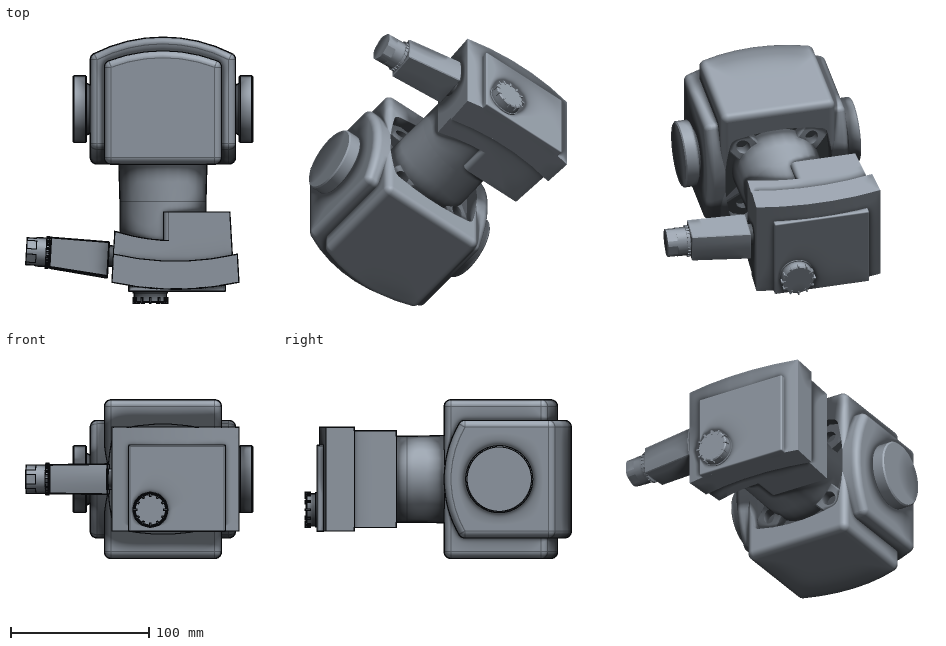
import cadquery as cq
import math


shell_fillet = 5.0
shell_front_y = -39.8
shell_back_radius = 109.7
wide_half_x = 52.5
wide_half_z = 42.5
wide_back_y = 52.2
wide_front_radius = 79.9
tall_half_x = 42.4
tall_height = 115.0
tall_half_z = tall_height / 2
tall_back_y = 42.2

pocket_half = 39.8
pocket_side_radius = 134.8
pocket_corner_radius = 6.7
pocket_floor_y = -28.5

volute_radius = 32.7
volute_back_y = 23.1
pipe_radius = 17.3
neck_radius = 18.9
flange_radius = 24.3
flange_outer_x = 65.0
flange_thickness = 10.0
flange_chamfer = 1.0

motor_radius = 31.2
motor_base_radius = 32.1
taper_end_y = -66.8
motor_end_y = -95.0
lug_count = 4
first_lug_angle = 45
lug_width = 19.8
lug_reach = 48.1
lug_front_y = -36.5
lug_slope_start = 31.2
lug_slope = 0.31
lug_edge = 1.0
screw_circle_radius = 35.8
screw_hole_radius = 5.0

box_center_x = 9.0
box_front_y = -130.1
box_step_y = -110.0
box_rear_y = -95.0
box_front_radius = 215.6
box_arc_center_y = box_front_y + box_front_radius
box_rear_radius = 142.5
box_draft = 3.3
box_front_half_x = 46.0
box_front_corner_y = -125.3
box_front_half_z = 37.5
box_rear_half_z = 35.0
box_step_x = 3.7
block_left_x = 0.4
block_back_y = -74.3
block_round = 3.7

panel_left_x = -24.8
panel_right_x = 45.2
panel_top_z = 24.6
panel_bottom_z = -38.0
panel_front_y = -131.9
panel_edge = 1.0

knob_x = -9.0
knob_z = -22.1
knob_radius = 11.7
knob_rim_radius = 12.5
knob_rim_thickness = 1.0
knob_front_y = -139.8
knob_edge = 0.8
tooth_count = 12
tooth_width = 1.2
tooth_inner_radius = 9.6
tooth_outer_radius = 12.7
tooth_back_y = -136.3
tooth_front_y = -140.3

plug_axis_y = -106.3
plug_start = 3.3
plug_end = 45.8
plug_edge = 0.5
plug_inner_back = 10.2
plug_inner_front = -14.8
plug_inner_bulge = 1.3
plug_inner_half_z = 11.2
plug_outer_back = 11.2
plug_outer_front = -10.5
plug_outer_bulge = 1.0
plug_outer_half_z = 10.5
socket_radius = 7.5
ring_start = 46.5
ring_radius = 11.5
nut_start = 48.7
nut_end = 63.0
nut_radius = 10.4
nut_flat_count = 6
nut_flat_distance = 9.8
nut_flat_length = 7.1
stem_radius = 8.7
knurl_count = 24
knurl_width = 1.2
knurl_depth = 0.8


def cylinder_y(radius, y_start, y_end, x=0.0, z=0.0):
    """Cylinder along Y between two Y positions."""
    return (
        cq.Workplane("XZ", origin=(x, y_start, z))
        .circle(radius)
        .extrude(y_start - y_end)
    )


def cylinder_x(radius, x_start, x_end):
    """Cylinder along X between two X positions."""
    return cq.Workplane("YZ", origin=(x_start, 0, 0)).circle(radius).extrude(x_end - x_start)


def box_between(x_range, y_range, z_range):
    """Rectangular block given by its limits along the three axes."""
    return (
        cq.Workplane("XY", origin=(0, 0, z_range[0]))
        .moveTo(x_range[0], y_range[0])
        .lineTo(x_range[1], y_range[0])
        .lineTo(x_range[1], y_range[1])
        .lineTo(x_range[0], y_range[1])
        .close()
        .extrude(z_range[1] - z_range[0])
    )




def arched_block(half_x, half_z, back_y):
    """Block with a flat front and an arched back."""
    side_y = back_y - shell_back_radius + math.sqrt(shell_back_radius**2 - half_x**2)
    return (
        cq.Workplane("XY", origin=(0, 0, -half_z))
        .moveTo(-half_x, shell_front_y)
        .lineTo(half_x, shell_front_y)
        .lineTo(half_x, side_y)
        .threePointArc((0, back_y), (-half_x, side_y))
        .close()
        .extrude(2 * half_z)
    )


def make_pocket():
    """Bulged square pocket that opens to the shell front."""
    arc_center = pocket_half - pocket_side_radius
    corner = (arc_center + math.sqrt(2 * pocket_side_radius**2 - arc_center**2)) / 2
    return (
        cq.Workplane("XZ", origin=(0, pocket_floor_y, 0))
        .moveTo(-corner, -corner)
        .threePointArc((0, -pocket_half), (corner, -corner))
        .threePointArc((pocket_half, 0), (corner, corner))
        .threePointArc((0, pocket_half), (-corner, corner))
        .threePointArc((-pocket_half, 0), (-corner, -corner))
        .close()
        .extrude(wide_back_y)
        .edges("|Y")
        .fillet(pocket_corner_radius)
    )


def make_shell(housing):
    tall = arched_block(tall_half_x, tall_half_z, tall_back_y).edges().fillet(shell_fillet)
    front_round = (
        cq.Workplane("YZ", origin=(-wide_half_x, 0, 0))
        .center(shell_front_y + wide_front_radius, 0)
        .circle(wide_front_radius)
        .extrude(2 * wide_half_x)
    )
    wide = arched_block(wide_half_x, wide_half_z, wide_back_y).intersect(front_round)
    wide = wide.edges().fillet(shell_fillet)
    return tall.union(wide).cut(make_pocket()).cut(housing)




def make_housing():
    flange_inner_x = flange_outer_x - flange_thickness
    housing = cylinder_y(volute_radius, pocket_floor_y, volute_back_y)
    housing = housing.union(cylinder_x(pipe_radius, -flange_outer_x, flange_outer_x))
    neck = (
        cq.Workplane("YZ", origin=(wide_half_x, 0, 0))
        .circle(pipe_radius)
        .workplane(offset=flange_inner_x - wide_half_x)
        .circle(neck_radius)
        .loft()
    )
    flange = cylinder_x(flange_radius, flange_inner_x, flange_outer_x).edges().chamfer(flange_chamfer)
    end = neck.union(flange)
    return housing.union(end).union(end.mirror("YZ"))




def make_lug():
    """Radial lug along +X whose front slopes back towards its tip."""
    tip_front_y = lug_front_y + lug_slope * (lug_reach - lug_slope_start)
    return (
        cq.Workplane("XY", origin=(0, 0, -lug_width / 2))
        .moveTo(0, pocket_floor_y)
        .lineTo(0, lug_front_y)
        .lineTo(lug_slope_start, lug_front_y)
        .lineTo(lug_reach, tip_front_y)
        .lineTo(lug_reach, pocket_floor_y)
        .close()
        .extrude(lug_width)
        .faces(f"<({-lug_slope}, 1, 0)")
        .edges("not |Z")
        .chamfer(lug_edge)
    )


def make_motor():
    motor = (
        cq.Workplane("XY")
        .moveTo(0, pocket_floor_y)
        .lineTo(motor_base_radius, pocket_floor_y)
        .lineTo(motor_radius, taper_end_y)
        .lineTo(motor_radius, motor_end_y)
        .lineTo(0, motor_end_y)
        .close()
        .revolve(360, (0, 0, 0), (0, 1, 0))
    )
    lug = make_lug()
    hole = cylinder_y(screw_hole_radius, pocket_floor_y, lug_front_y, screw_circle_radius)
    pocket = make_pocket()
    for index in range(lug_count):
        angle = first_lug_angle + index * 360 / lug_count
        motor = motor.union(lug.rotate((0, 0, 0), (0, 1, 0), angle).intersect(pocket))
        motor = motor.cut(hole.rotate((0, 0, 0), (0, 1, 0), angle))
    return motor




def box_disc(apex_y, half_z):
    """Disc whose rim forms the curved front or the curved step of the control box."""
    return (
        cq.Workplane("XY", origin=(box_center_x, box_arc_center_y, -half_z))
        .circle(box_arc_center_y - apex_y)
        .extrude(2 * half_z)
    )


def box_end_x(y):
    """Distance of a drafted end face from the box middle at a given Y."""
    return box_front_half_x - (y - box_front_corner_y) * math.tan(math.radians(box_draft))


def drafted_block(y_front, y_back, half_z, right_inset):
    """Block between the drafted end faces, with its right end set back."""
    return (
        cq.Workplane("XY", origin=(box_center_x, 0, -half_z))
        .moveTo(-box_end_x(y_front), y_front)
        .lineTo(box_end_x(y_front) - right_inset, y_front)
        .lineTo(box_end_x(y_back) - right_inset, y_back)
        .lineTo(-box_end_x(y_back), y_back)
        .close()
        .extrude(2 * half_z)
    )


def make_control_box(motor):
    front = drafted_block(box_front_y, block_back_y, box_front_half_z, 0)
    front = front.intersect(box_disc(box_front_y, box_front_half_z))
    front = front.cut(box_disc(box_step_y, box_front_half_z))
    rear = drafted_block(box_front_y, block_back_y, box_rear_half_z, box_step_x)
    rear = rear.intersect(box_disc(box_step_y, box_rear_half_z))
    rear_hollow = (
        cq.Workplane("XY", origin=(box_center_x, box_rear_y + box_rear_radius, -box_rear_half_z))
        .circle(box_rear_radius)
        .extrude(2 * box_rear_half_z)
    )
    curved = rear.cut(rear_hollow)
    block_right_x = box_center_x + box_front_half_x
    block_limit = box_between(
        (block_left_x, block_right_x), (box_step_y, block_back_y), (-box_rear_half_z, box_rear_half_z)
    )
    block_limit = block_limit.edges("|Y and <X").fillet(block_round)
    block = rear.intersect(block_limit)
    return front.union(curved).union(block).cut(motor)


def make_panel():
    panel = box_between(
        (panel_left_x, panel_right_x), (panel_front_y, box_step_y), (panel_bottom_z, panel_top_z)
    )
    panel = panel.edges("|Y or <Y").fillet(panel_edge)
    return panel.cut(box_disc(box_front_y, -panel_bottom_z))


def make_knob():
    knob = cylinder_y(knob_radius, panel_front_y, knob_front_y, knob_x, knob_z)
    knob = knob.faces("<Y").edges().chamfer(knob_edge)
    rim_end_y = panel_front_y - knob_rim_thickness
    knob = knob.union(cylinder_y(knob_rim_radius, panel_front_y, rim_end_y, knob_x, knob_z))
    tooth = box_between(
        (tooth_inner_radius, tooth_outer_radius),
        (tooth_front_y, tooth_back_y),
        (-tooth_width / 2, tooth_width / 2),
    )
    for index in range(tooth_count):
        turned = tooth.rotate((0, 0, 0), (0, 1, 0), index * 360 / tooth_count)
        knob = knob.union(turned.translate((knob_x, 0, knob_z)))
    return knob




def plug_plane(distance):
    """Plane across the plug axis: local x is up along Y, local y is down along Z."""
    tilt = math.radians(box_draft)
    outward = cq.Vector(-math.cos(tilt), math.sin(tilt), 0)
    start = cq.Vector(box_center_x - box_end_x(plug_axis_y), plug_axis_y, 0)
    across = cq.Vector(math.sin(tilt), math.cos(tilt), 0)
    return cq.Plane(origin=start + outward * distance, xDir=across, normal=outward)


def plug_disc(radius, start, end):
    """Round disc on the plug axis."""
    return cq.Workplane(plug_plane(start)).circle(radius).extrude(end - start)


def plug_section(distance, back, front, bulge, half_z):
    """Closed outline of the plug with a bulged front side."""
    return (
        cq.Workplane(plug_plane(distance))
        .moveTo(back, -half_z)
        .lineTo(back, half_z)
        .lineTo(front, half_z)
        .threePointArc((front - bulge, 0), (front, -half_z))
        .close()
        .wires()
        .val()
    )


def make_plug():
    inner = plug_section(
        plug_start, plug_inner_back, plug_inner_front, plug_inner_bulge, plug_inner_half_z
    )
    outer = plug_section(
        plug_end, plug_outer_back, plug_outer_front, plug_outer_bulge, plug_outer_half_z
    )
    plug = cq.Workplane(cq.Solid.makeLoft([inner, outer], True))
    return plug.edges().chamfer(plug_edge)


def make_socket():
    return plug_disc(socket_radius, 0, plug_start)


def make_ring():
    ring = plug_disc(ring_radius, ring_start, nut_start)
    grooves = (
        cq.Workplane(plug_plane(ring_start))
        .polarArray(ring_radius, 0, 360, knurl_count)
        .rect(2 * knurl_depth, knurl_width)
        .extrude(nut_start - ring_start)
    )
    return ring.cut(grooves).union(plug_disc(stem_radius, plug_end, nut_start))


def make_nut():
    nut = plug_disc(nut_radius, nut_start, nut_end)
    flat_start = nut_end - nut_flat_length
    for index in range(nut_flat_count):
        cutter = (
            cq.Workplane(plug_plane(flat_start))
            .transformed(rotate=(0, 0, index * 360 / nut_flat_count))
            .center(nut_flat_distance + nut_radius / 2, 0)
            .rect(nut_radius, 2 * nut_radius)
            .extrude(nut_flat_length)
        )
        nut = nut.cut(cutter)
    return nut


housing = make_housing()
shell = make_shell(housing)
motor = make_motor()
control_box = make_control_box(motor)
panel = make_panel()
knob = make_knob()
socket = make_socket()
plug = make_plug()
ring = make_ring()
nut = make_nut()

bodies = [shell, housing, motor, control_box, panel, knob, socket, plug, ring, nut]
result = cq.Compound.makeCompound([body.solids().val() for body in bodies])